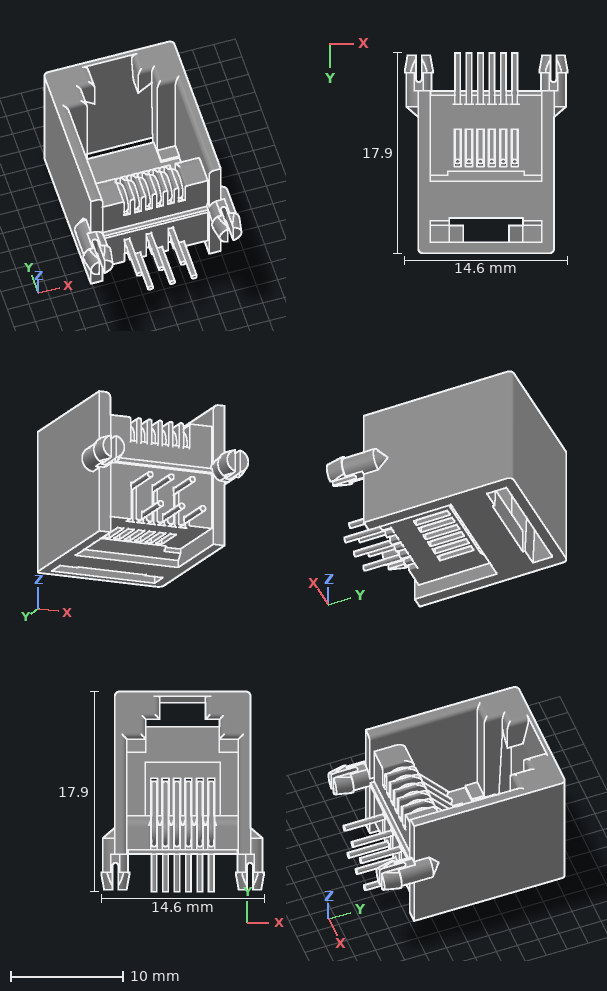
import cadquery as cq
import math


TOTAL_W = 14.55
TOTAL_D = 17.9

ARC_MID = math.sqrt(0.5)

BODY_W = 12.14
BODY_D = 14.52
BODY_H = 13.0
REAR_CORNER_R = 0.45
MOUTH_R = 0.5

CAVITY_HALF = 4.98
SHOULDER_HALF = 3.28
LATCH_HALF = 2.02
CAVITY_END = 10.25
SHOULDER_END = 12.01
LATCH_TOP_END = 14.09
LATCH_LOW_END = 13.5

LATCH_WALL_Z = 9.9
POCKET_SIDE_Z = 10.97
POCKET_FOOT_Y = 11.58

BLOCK_FRONT = 0.4
BLOCK_BACK = 3.44
BLOCK_TOP = 11.05
BLOCK_R = 0.97
FLOOR_END = 11.37
FLOOR_TOP = 2.5
UNDERSIDE_Z = 1.58
LIP_TOP = 0.65
RAMP_START = 7.16
RAMP_END = 8.05
RAMP_NOTCH_Z = 1.18
RAMP_HALF = 3.42
RECESS_HALF = 3.35
RECESS_END = 8.18
RECESS_DEPTH = 0.25
PAD_START = 9.1
PAD_H = 0.25
RIB_Z = 6.64
RIB_H = 0.38

CONTACTS = 6
PITCH = 1.02
WIRE_D = 0.5
PIN_TIP_Y = BODY_D - TOTAL_D
HIGH_PIN_Z = 4.75
LOW_PIN_Z = 2.15
BEND_Y = 1.97
BEND_R = 1.05
BEND_Z = 9.36
BEND_START_ANGLE = math.radians(45)
SPRING_ANGLE = math.radians(52)
SPRING_END = 6.32
COMB_SLOT_W = 0.59
COMB_SLOT_Z = 8.88
COMB_SLOT_DROP = 1.07
COMB_SLOT_END = 6.75
CHANNEL_W = 0.48
CHANNEL_R = 0.15

RISER_Y = BEND_Y - BEND_R * math.cos(BEND_START_ANGLE)
RISER_TOP = BEND_Z - BEND_R * math.sin(BEND_START_ANGLE)

PEG_Z = 7.02
PEG_R = 1.13
BARB_R = 1.27
PEG_X = TOTAL_W / 2 - BARB_R
BARB_TIP_R = 1.02
PEG_SHOULDER_Y = 1.43
PEG_APEX_Y = 2.4
BARB_Y = -1.63
BARB_TAPER_Y = -1.8
PEG_TIP_Y = -3.19
PEG_FLAT = 1.05
PEG_SLOT_W = 0.5
PEG_SLOT_END = -0.79


def block(x0, x1, y0, y1, z0, z1):
    """Box between two opposite corners."""
    return cq.Workplane("XY").box(x1 - x0, y1 - y0, z1 - z0, centered=False).translate((x0, y0, z0))


def across(profile, half):
    """Extrude a closed YZ profile symmetrically about X = 0."""
    return profile.close().extrude(half, both=True)


def yz(points):
    """Open YZ polyline ready for closing."""
    return cq.Workplane("YZ").polyline(points)


def make_shell():
    """Outer box with the stepped plug cavity and its rounded mouth."""
    shell = block(-BODY_W / 2, BODY_W / 2, 0, BODY_D, 0, BODY_H)
    shell = shell.edges("|Z and >Y").fillet(REAR_CORNER_R)
    shell = shell.cut(block(-CAVITY_HALF, CAVITY_HALF, 0, CAVITY_END, 0, BODY_H))
    shell = shell.cut(block(-SHOULDER_HALF, SHOULDER_HALF, 0, SHOULDER_END, 0, BODY_H))
    latch = yz([
        (0, 0),
        (LATCH_LOW_END, 0),
        (LATCH_LOW_END, LATCH_WALL_Z),
        (LATCH_TOP_END, BODY_H),
        (0, BODY_H),
    ])
    shell = shell.cut(across(latch, LATCH_HALF))
    margin = 0.18
    mouth = cq.selectors.BoxSelector(
        (-CAVITY_HALF - margin, -margin, BODY_H - margin),
        (CAVITY_HALF + margin, LATCH_TOP_END - margin, BODY_H + margin),
    )
    return shell.edges(mouth).fillet(MOUTH_R)


def make_latch_pocket():
    """Space behind the shoulder walls, with a roof that rises beside the latch opening."""
    side = yz([
        (POCKET_FOOT_Y, 0),
        (LATCH_LOW_END, 0),
        (LATCH_LOW_END, BODY_H),
        (SHOULDER_END, BODY_H),
        (SHOULDER_END, POCKET_SIDE_Z),
    ])
    roof = (
        cq.Workplane("XZ")
        .polyline([
            (-CAVITY_HALF, 0),
            (-CAVITY_HALF, POCKET_SIDE_Z),
            (-SHOULDER_HALF, POCKET_SIDE_Z),
            (-LATCH_HALF, LATCH_WALL_Z),
            (LATCH_HALF, LATCH_WALL_Z),
            (SHOULDER_HALF, POCKET_SIDE_Z),
            (CAVITY_HALF, POCKET_SIDE_Z),
            (CAVITY_HALF, 0),
        ])
        .close()
        .extrude(-BODY_D)
    )
    return across(side, CAVITY_HALF).intersect(roof)


def make_floor():
    """Front contact block and cavity floor, with recess, side pads, rib and ramped underside."""
    arc_mid = BLOCK_R * ARC_MID
    profile = (
        yz([
            (BLOCK_FRONT, BLOCK_TOP),
            (BLOCK_FRONT, UNDERSIDE_Z),
            (RAMP_START, UNDERSIDE_Z),
            (RAMP_END, LIP_TOP),
            (RAMP_END, 0),
            (FLOOR_END, 0),
            (FLOOR_END, FLOOR_TOP),
            (BLOCK_BACK, FLOOR_TOP),
            (BLOCK_BACK, BLOCK_TOP - BLOCK_R),
        ])
        .threePointArc(
            (BLOCK_BACK - BLOCK_R + arc_mid, BLOCK_TOP - BLOCK_R + arc_mid),
            (BLOCK_BACK - BLOCK_R, BLOCK_TOP),
        )
    )
    floor = across(profile, CAVITY_HALF)
    recess_z = FLOOR_TOP - RECESS_DEPTH
    floor = floor.cut(block(-RECESS_HALF, RECESS_HALF, BLOCK_BACK, RECESS_END, recess_z, FLOOR_TOP))
    rib = block(-CAVITY_HALF, CAVITY_HALF, 0, BLOCK_FRONT, RIB_Z, RIB_Z + RIB_H)
    floor = floor.union(rib)
    ramp_slope = (RAMP_END - RAMP_START) / (UNDERSIDE_Z - LIP_TOP)
    notch_y = RAMP_START + ramp_slope * (UNDERSIDE_Z - RAMP_NOTCH_Z)
    for x0, x1 in ((-CAVITY_HALF, -RAMP_HALF), (RAMP_HALF, CAVITY_HALF)):
        floor = floor.cut(block(x0, x1, RAMP_START, notch_y, RAMP_NOTCH_Z, UNDERSIDE_Z))
    for x0, x1 in ((-CAVITY_HALF, -SHOULDER_HALF), (SHOULDER_HALF, CAVITY_HALF)):
        floor = floor.union(block(x0, x1, PAD_START, CAVITY_END, FLOOR_TOP, FLOOR_TOP + PAD_H))
    return floor


def make_comb_slot(x):
    """Spring slot: flared top leaves round comb teeth, front floor slopes down to the riser."""
    half = COMB_SLOT_W / 2
    flare = (PITCH - COMB_SLOT_W) / 2
    bend = flare * (1 - ARC_MID)
    slot = (
        cq.Workplane("XZ")
        .moveTo(x - half, COMB_SLOT_Z)
        .lineTo(x + half, COMB_SLOT_Z)
        .lineTo(x + half, BLOCK_TOP - flare)
        .threePointArc((x + half + bend, BLOCK_TOP - bend), (x + half + flare, BLOCK_TOP))
        .lineTo(x - half - flare, BLOCK_TOP)
        .threePointArc((x - half - bend, BLOCK_TOP - bend), (x - half, BLOCK_TOP - flare))
        .close()
        .extrude(-BLOCK_BACK)
    )
    sloping_floor = yz([
        (BLOCK_FRONT, COMB_SLOT_Z),
        (RISER_Y, COMB_SLOT_Z),
        (RISER_Y, COMB_SLOT_Z - COMB_SLOT_DROP),
    ])
    slot = slot.union(across(sloping_floor, half).translate((x, 0, 0)))
    return slot.union(block(x - half, x + half, BLOCK_BACK, COMB_SLOT_END, 0, BLOCK_TOP))


def make_channel(x, pin_z):
    """Open groove in the block face below one pin, rounded out at the underside."""
    half = CHANNEL_W / 2
    bend = CHANNEL_R * (1 - ARC_MID)
    foot = UNDERSIDE_Z + CHANNEL_R
    top = pin_z + WIRE_D / 2
    return (
        cq.Workplane("XZ")
        .moveTo(x - half, top)
        .lineTo(x - half, foot)
        .threePointArc((x - half - bend, UNDERSIDE_Z + bend), (x - half - CHANNEL_R, UNDERSIDE_Z))
        .lineTo(x + half + CHANNEL_R, UNDERSIDE_Z)
        .threePointArc((x + half + bend, UNDERSIDE_Z + bend), (x + half, foot))
        .lineTo(x + half, top)
        .close()
        .extrude(-RISER_Y)
    )


def make_contact(x, pin_z):
    """Round wire: board pin, riser inside the block, bend over the comb and sloping spring."""
    arc_mid = BEND_R * ARC_MID
    bend_end_y = BEND_Y + BEND_R * math.sin(SPRING_ANGLE)
    bend_end_z = BEND_Z + BEND_R * math.cos(SPRING_ANGLE)
    spring_drop = (SPRING_END - bend_end_y) * math.tan(SPRING_ANGLE)
    path = (
        cq.Workplane("YZ", origin=(x, 0, 0))
        .moveTo(RISER_Y, RISER_TOP)
        .threePointArc((BEND_Y - arc_mid, BEND_Z + arc_mid), (bend_end_y, bend_end_z))
        .lineTo(SPRING_END, bend_end_z - spring_drop)
    )
    start_direction = (0, -math.sin(BEND_START_ANGLE), math.cos(BEND_START_ANGLE))
    start_plane = cq.Plane(origin=(x, RISER_Y, RISER_TOP), xDir=(1, 0, 0), normal=start_direction)
    spring = cq.Workplane(start_plane).circle(WIRE_D / 2).sweep(path)
    riser = cq.Workplane("XY", origin=(x, RISER_Y, pin_z)).circle(WIRE_D / 2).extrude(RISER_TOP - pin_z)
    pin_length = RISER_Y + WIRE_D / 2 - PIN_TIP_Y
    pin = cq.Workplane("XZ", origin=(x, PIN_TIP_Y, pin_z)).circle(WIRE_D / 2).extrude(-pin_length)
    return spring.union(riser).union(pin)


def make_peg(x):
    """Split snap-in peg with a barbed tip and a pointed root on the housing side."""
    peg = (
        cq.Workplane("XY")
        .polyline([
            (0, PEG_TIP_Y),
            (BARB_TIP_R, PEG_TIP_Y),
            (BARB_R, BARB_TAPER_Y),
            (BARB_R, BARB_Y),
            (PEG_R, BARB_Y),
            (PEG_R, PEG_SHOULDER_Y),
            (0, PEG_APEX_Y),
        ])
        .close()
        .revolve(360, (0, 0, 0), (0, 1, 0))
    )
    for z0, z1 in ((-2 * BARB_R, -PEG_FLAT), (PEG_FLAT, 2 * BARB_R)):
        peg = peg.cut(block(-BARB_R, BARB_R, PEG_TIP_Y, 0, z0, z1))
    slot_half = PEG_SLOT_W / 2
    round_y = PEG_SLOT_END - slot_half
    slot = block(-slot_half, slot_half, PEG_TIP_Y, round_y, -BARB_R, BARB_R)
    slot_end = cq.Workplane("XY").center(0, round_y).circle(slot_half).extrude(BARB_R, both=True)
    return peg.cut(slot).cut(slot_end).translate((x, 0, PEG_Z))


contact_places = []
for index in range(CONTACTS):
    contact_x = (index - (CONTACTS - 1) / 2) * PITCH
    contact_places.append((contact_x, LOW_PIN_Z if index % 2 else HIGH_PIN_Z))

result = make_shell().union(make_floor()).cut(make_latch_pocket())
for contact_x, pin_height in contact_places:
    result = result.cut(make_comb_slot(contact_x)).cut(make_channel(contact_x, pin_height))
for contact_x, pin_height in contact_places:
    result = result.union(make_contact(contact_x, pin_height))
for side in (-1, 1):
    result = result.union(make_peg(side * PEG_X))